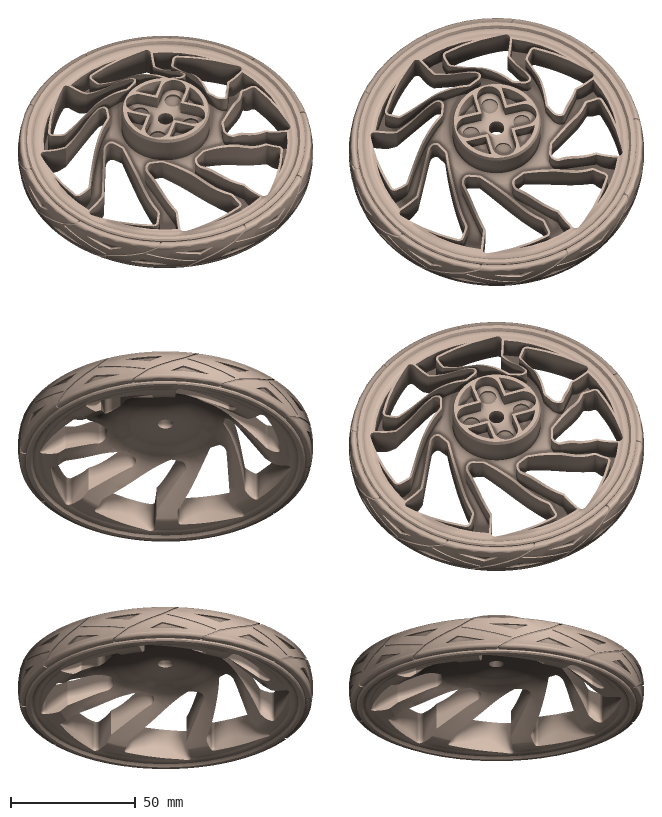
import cadquery as cq
WHEEL_RADIUS = 59.15
RIM_HEIGHT = 15.4
MID_Z = RIM_HEIGHT / 2
RIM_RADIUS = 56.0
RIM_LIP_INNER_RADIUS = 54.0
RIM_LIP_HEIGHT = 1.0
RIM_LIP_STEP = 0.9
RIM_EDGE_CHAMFER = 0.5
RIM_INNER_RADIUS = 49.8
RIM_INNER_BEVEL = 1.1
RIM_INNER_DROP = 0.3
TYRE_INNER_RADIUS = 55.0
TYRE_EDGE_RADIUS = 56.7
TYRE_HALF_HEIGHT = 6.6
SHOULDER_RADIUS = 58.6
SHOULDER_HALF_HEIGHT = 4.9
SHOULDER_BULGE = 0.5

TREAD_COUNT = 10
TREAD_PITCH = 360 / TREAD_COUNT
GROOVE_DEPTH = 0.6
MAIN_GROOVE_WIDTH = 0.8
MAIN_GROOVE_BEND = (7.1, 2.8)
MAIN_GROOVE_END = (13.6, 6.6)
LINK_GROOVE_WIDTH = 0.6
LINK_GROOVE_HALF_LENGTH = 10.0
LINK_GROOVE_HALF_RISE = 2.5
POCKET_DEPTH = 1.2
POCKET_ANGLE = 9.3
POCKET_HALF_LENGTH = 8.0
POCKET_BASE_OFFSET = 3.5
POCKET_TIP = (2.8, 1.0)

WEB_RIM_TOP_Z = RIM_HEIGHT - RIM_LIP_HEIGHT - RIM_INNER_DROP
WEB_RIM_UNDER_Z = RIM_HEIGHT - WEB_RIM_TOP_Z
WEB_OUTER_RADIUS = 53.0
WEB_THICKNESS = 3.0
WALL_TOP = [
    (22.0, 26.2),
    (25.5, 26.0),
    (29.0, 24.2),
    (32.5, 20.8),
    (36.0, 17.4),
    (40.0, 15.2),
    (46.0, WEB_RIM_TOP_Z),
]
UNDERSIDE = [(15.0, 18.6), (24.0, 17.0), (33.0, 10.0), (42.0, 2.8), (48.0, WEB_RIM_UNDER_Z)]
SPOKE_FLOOR = [(radius, z + WEB_THICKNESS) for radius, z in UNDERSIDE]

WINDOW_COUNT = 8
WALL_THICKNESS = 0.9
SPOKE_END_RADIUS = 48.85

HUB_RADIUS = 17.65
HUB_BASE_Z = UNDERSIDE[0][1] + WEB_THICKNESS / 2
HUB_TOP_Z = 32.8
HUB_CHAMFER_WIDTH = 0.6
HUB_CHAMFER_HEIGHT = 1.2
HUB_BORE_DIAMETER = 6.2
CROSS_TURN = -1.0
CROSS_DEPTH = 5.8
CROSS_FLOOR_Z = HUB_TOP_Z - CROSS_DEPTH
CROSS_HALF_WIDTH = 4.85
CROSS_REACH = 16.4
CROSS_WALL = 1.1
SOCKET_CIRCLE_RADIUS = 10.5
SOCKET_DIAMETER = 6.7
SOCKET_DEPTH = 1.0
CORNER_POCKET_TOP_RADIUS = 15.5
CORNER_POCKET_FLOOR_RADIUS = 14.2
ARM_COUNT = 4


def revolve_profile(profile):
    """Turn a closed profile drawn as (radius, height) about the wheel axis."""
    return profile.close().revolve(360, (0, 0, 0), (0, 1, 0))


def solid_tyre(inset=0.0):
    """Barrel-shaped tyre as a solid disc, with its outside moved inwards by inset."""
    edge = TYRE_EDGE_RADIUS - inset
    shoulder = SHOULDER_RADIUS - inset
    crown = WHEEL_RADIUS - inset
    half_height = TYRE_HALF_HEIGHT - inset
    low_edge, high_edge = MID_Z - half_height, MID_Z + half_height
    low_shoulder, high_shoulder = MID_Z - SHOULDER_HALF_HEIGHT, MID_Z + SHOULDER_HALF_HEIGHT
    mid_radius = (edge + shoulder) / 2 + SHOULDER_BULGE
    mid_offset = (half_height + SHOULDER_HALF_HEIGHT) / 2 + SHOULDER_BULGE
    profile = (
        cq.Workplane("XZ")
        .moveTo(0, low_edge)
        .lineTo(edge, low_edge)
        .threePointArc((mid_radius, MID_Z - mid_offset), (shoulder, low_shoulder))
        .threePointArc((crown, MID_Z), (shoulder, high_shoulder))
        .threePointArc((mid_radius, MID_Z + mid_offset), (edge, high_edge))
        .lineTo(0, high_edge)
    )
    return revolve_profile(profile)


def rim_ring():
    """Rim inside the tyre: raised lips at both faces and a bevelled inner edge."""
    half_profile = [
        (RIM_INNER_RADIUS, MID_Z - RIM_LIP_HEIGHT - RIM_INNER_DROP),
        (RIM_INNER_RADIUS + RIM_INNER_BEVEL, MID_Z - RIM_LIP_HEIGHT),
        (RIM_LIP_INNER_RADIUS - RIM_LIP_STEP, MID_Z - RIM_LIP_HEIGHT),
        (RIM_LIP_INNER_RADIUS, MID_Z),
        (RIM_RADIUS - RIM_EDGE_CHAMFER, MID_Z),
        (RIM_RADIUS, MID_Z - RIM_EDGE_CHAMFER),
    ]
    upper = [(radius, MID_Z + offset) for radius, offset in half_profile]
    lower = [(radius, MID_Z - offset) for radius, offset in reversed(half_profile)]
    return revolve_profile(cq.Workplane("XZ").polyline(upper + lower))


def domed_slab(top, underside, radius):
    """Round slab of the given radius between two S-curved domes, each given as (radius, z) points."""
    profile = (
        cq.Workplane("XZ")
        .moveTo(0, underside[0][1])
        .lineTo(*underside[0])
        .spline(underside[1:], tangents=[(1, 0), (1, 0)], includeCurrent=True)
        .lineTo(radius, underside[-1][1])
        .lineTo(radius, top[-1][1])
        .lineTo(*top[-1])
        .spline(top[-2::-1], tangents=[(-1, 0), (-1, 0)], includeCurrent=True)
        .lineTo(0, top[0][1])
    )
    return revolve_profile(profile)


def window_prism():
    """One spoke window as a tall prism; the corners are rounded by their own radii."""
    heel = (-8.75, 45.5)
    knee = (-7.9, 39.9)
    sweep_middle = (4.6, 29.3)
    tip_near = (12.6, 19.6)
    tip_far = (20.0, 16.75)
    elbow = (15.3, 37.1)
    toe = (19.45, 47.2)
    outer_middle = (7.0, 47.8)
    rounded_corners = [(heel, 1.2), (knee, 1.5), (tip_near, 1.5), (tip_far, 2.0), (toe, 1.6)]
    prism = (
        cq.Workplane("XY")
        .moveTo(*heel)
        .lineTo(*knee)
        .threePointArc(sweep_middle, tip_near)
        .lineTo(*tip_far)
        .lineTo(*elbow)
        .lineTo(*toe)
        .threePointArc(outer_middle, heel)
        .close()
        .extrude(HUB_TOP_Z)
    )
    for (x, y), radius in rounded_corners:
        prism = prism.edges(cq.selectors.NearestToPointSelector((x, y, MID_Z * 2))).fillet(radius)
    return prism


def around(tool, count, start=0.0):
    """Copies of tool turned evenly about the wheel axis."""
    pitch = 360 / count
    return [tool.rotate((0, 0, 0), (0, 0, 1), start + i * pitch) for i in range(count)]


def cut_around(body, tool, count, start=0.0):
    """Cut evenly turned copies of tool from body."""
    for copy in around(tool, count, start):
        body = body.cut(copy)
    return body


def spoked_web(window):
    """Dished web: thin walls stand around every window, and between them the spokes are sunken."""
    slab = domed_slab(WALL_TOP, UNDERSIDE, WEB_OUTER_RADIUS)
    above_floor = [(radius, z + HUB_TOP_Z) for radius, z in WALL_TOP]
    sunken = domed_slab(above_floor, SPOKE_FLOOR, SPOKE_END_RADIUS)
    walled_window = window.faces("<Z").wires().toPending().offset2D(WALL_THICKNESS, "intersection")
    sunken = cut_around(sunken, walled_window.extrude(2 * HUB_TOP_Z), WINDOW_COUNT)
    return cut_around(slab.cut(sunken), window, WINDOW_COUNT)


def hub():
    """Round boss standing on the web."""
    boss = (
        cq.Workplane("XY")
        .workplane(offset=HUB_BASE_Z)
        .circle(HUB_RADIUS)
        .extrude(HUB_TOP_Z - HUB_BASE_Z)
    )
    return boss.faces(">Z").edges().chamfer(HUB_CHAMFER_HEIGHT, HUB_CHAMFER_WIDTH)


def hub_cross():
    """Four round-ended arms sunk into the hub, with a shallow round socket in each arm."""
    floor = cq.Workplane("XY").workplane(offset=CROSS_FLOOR_Z)
    length = 2 * CROSS_REACH
    width = 2 * CROSS_HALF_WIDTH
    recess = floor.slot2D(length, width).extrude(CROSS_DEPTH)
    recess = recess.union(floor.slot2D(length, width, 90).extrude(CROSS_DEPTH))
    sockets = (
        floor.polarArray(SOCKET_CIRCLE_RADIUS, 0, 360, ARM_COUNT)
        .circle(SOCKET_DIAMETER / 2)
        .extrude(-SOCKET_DEPTH)
    )
    return recess.union(sockets)


def corner_pocket():
    """Quarter pocket between two arms, its outer wall leaning inwards towards the floor."""
    inner = CROSS_HALF_WIDTH + CROSS_WALL
    cone = (
        cq.Workplane("XY")
        .workplane(offset=CROSS_FLOOR_Z)
        .circle(CORNER_POCKET_FLOOR_RADIUS)
        .workplane(offset=CROSS_DEPTH)
        .circle(CORNER_POCKET_TOP_RADIUS)
        .loft()
    )
    corner = (
        cq.Workplane("XY")
        .workplane(offset=CROSS_FLOOR_Z)
        .rect(HUB_RADIUS, HUB_RADIUS, centered=False)
        .extrude(CROSS_DEPTH)
        .translate((inner, inner, 0))
    )
    return cone.intersect(corner)


def strip_outline(points, width):
    """Closed outline of a strip of the given width, measured upwards, along a line of points."""
    upper = [(x, z + width / 2) for x, z in points]
    lower = [(x, z - width / 2) for x, z in reversed(points)]
    return upper + lower


def tread_cutter(outline, angle, depth, skin):
    """Outline drawn flat on the tyre at the given angle, cut inwards to an even depth."""
    length = WHEEL_RADIUS / 2
    plane = cq.Plane(origin=(0, 0, MID_Z), xDir=(1, 0, 0), normal=(0, -1, 0))
    prism = cq.Workplane(plane).workplane(offset=WHEEL_RADIUS - length).polyline(outline).close()
    prism = prism.extrude(length + depth)
    return prism.rotate((0, 0, 0), (0, 0, 1), angle).cut(skin)


def mirrored_through_centre(points):
    """Points turned half a turn about the origin of the flat tread drawing."""
    return [(-x, -z) for x, z in points]


def tread_tools():
    """One pitch of tread: a long main groove, a link groove and two triangular pockets."""
    main_half = [MAIN_GROOVE_BEND, MAIN_GROOVE_END]
    main_line = mirrored_through_centre(reversed(main_half)) + main_half
    link_line = [
        (-LINK_GROOVE_HALF_LENGTH, LINK_GROOVE_HALF_RISE),
        (LINK_GROOVE_HALF_LENGTH, -LINK_GROOVE_HALF_RISE),
    ]
    upper_pocket = [
        (-POCKET_HALF_LENGTH, POCKET_BASE_OFFSET),
        (POCKET_HALF_LENGTH, POCKET_BASE_OFFSET),
        POCKET_TIP,
    ]
    groove_floor = solid_tyre(GROOVE_DEPTH)
    pocket_floor = solid_tyre(POCKET_DEPTH)
    link_angle = TREAD_PITCH / 2
    return [
        tread_cutter(strip_outline(main_line, MAIN_GROOVE_WIDTH), 0, GROOVE_DEPTH, groove_floor),
        tread_cutter(strip_outline(link_line, LINK_GROOVE_WIDTH), link_angle, GROOVE_DEPTH, groove_floor),
        tread_cutter(upper_pocket, -POCKET_ANGLE, POCKET_DEPTH, pocket_floor),
        tread_cutter(mirrored_through_centre(upper_pocket), POCKET_ANGLE, POCKET_DEPTH, pocket_floor),
    ]


def treaded_tyre():
    """Tyre ring with the tread cut all the way round."""
    tyre = solid_tyre()
    for tool in tread_tools():
        tyre = cut_around(tyre, tool, TREAD_COUNT)
    return tyre.cut(cq.Workplane("XY").circle(TYRE_INNER_RADIUS).extrude(RIM_HEIGHT))


window = window_prism()
rim = cut_around(rim_ring(), window, WINDOW_COUNT)
wheel = spoked_web(window).union(rim).union(treaded_tyre()).union(hub())
wheel = wheel.cut(hub_cross().rotate((0, 0, 0), (0, 0, 1), CROSS_TURN))
wheel = cut_around(wheel, corner_pocket(), ARM_COUNT, CROSS_TURN)
bore = cq.Workplane("XY").circle(HUB_BORE_DIAMETER / 2).extrude(HUB_TOP_Z)
result = wheel.cut(bore)